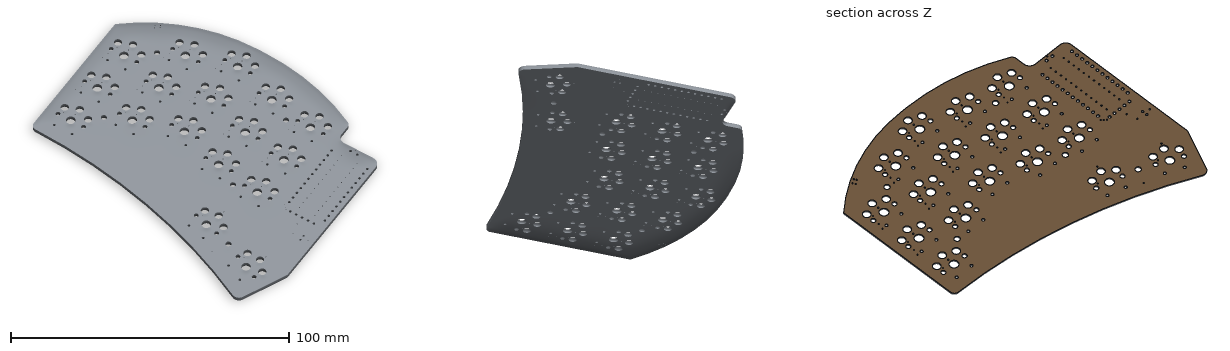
import cadquery as cq
import math

width = 114.0
depth = 98.8
thickness = 1.6

right_edge = width / 2
left_edge = -right_edge
top_edge = depth / 2

left_crest_x = -8.2
right_crest_x = -5.0
left_crown_radius = 74.1
right_crown_radius = 93.5
notch_x = 38.5
notch_y = 30.5
tip_side_top_y = -30.8
tip = (47.9, -50.4)
lower_left_y = -24.6
lower_curve_radius = 228.0
corner_radius = 2.0
wide_corner_radius = 3.0
tip_radius = 2.6

switch_post_d = 3.4
switch_pin_d = 3.0
switch_peg_d = 1.7
mounting_d = 2.2
header_d = 0.99
diode_d = 1.0
battery_d = 0.75
via_d = 0.4
micro_via_d = 0.3

column_count = 5
row_count = 3
middle_column_x = -9.6
column_span = 74.0
column_pitch = column_span / (column_count - 1)
row_pitch = 17.5
column_middle_y = [3.3, 15.4, 21.3, 15.4, 12.4]

thumb_keys = [(20.1, -27.4, -15.0), (42.5, -35.8, -25.0)]

peg_x = 5.5
top_pin_y = 5.9
side_pin_x = 5.0
side_pin_y = 3.8
diode_span = 7.6
diode_y = -5.0
key_centre_via = (0, 3.0)
thumb_top_via = (0, 8.4)
key_pin_via = (-4.0, 1.6)
key_peg_vias = [(-5.2, -2.5), (-6.0, -5.0)]

header_x = 47.2
header_row_gap = 15.3
header_via_gap = 6.6
header_count = 12
header_span = 27.9
header_top_y = 25.2
header_pitch = header_span / (header_count - 1)
cross_row_count = 5
cross_row_y = -6.0

mounting_points = [(-37.3, 28.4), (-37.3, -6.7), (18.2, 27.9), (18.2, -7.1), (31.6, -30.5)]
button_x = 46.9
button_y = 28.7
button_gap = 3.0
button_via_y = 29.9
battery_points = [(52.2, -12.8), (52.2, -14.8)]
loose_vias = [(-44.1, 37.4), (-43.0, 39.5), (-42.5, 38.5), (47.3, -9.5), (48.5, -13.8), (54.7, -13.8)]
loose_micro_vias = [(-44.7, 38.4), (38.9, -4.7), (39.7, -5.5), (40.5, -6.3), (28.4, -36.5)]


def crown_y(x, crest_x, radius):
    """Y at x on a crown arc that touches the top edge at crest_x."""
    return top_edge - radius + math.sqrt(radius**2 - (x - crest_x) ** 2)


notch_top_y = crown_y(notch_x, right_crest_x, right_crown_radius)


def make_board():
    left_mid_x = (left_edge + left_crest_x) / 2
    right_mid_x = (notch_x + right_crest_x) / 2
    return (
        cq.Workplane("XY")
        .moveTo(left_edge, crown_y(left_edge, left_crest_x, left_crown_radius))
        .threePointArc(
            (left_mid_x, crown_y(left_mid_x, left_crest_x, left_crown_radius)),
            (left_crest_x, top_edge),
        )
        .lineTo(right_crest_x, top_edge)
        .threePointArc(
            (right_mid_x, crown_y(right_mid_x, right_crest_x, right_crown_radius)),
            (notch_x, notch_top_y),
        )
        .lineTo(notch_x, notch_y)
        .lineTo(right_edge, notch_y)
        .lineTo(right_edge, tip_side_top_y)
        .lineTo(*tip)
        .radiusArc((left_edge, lower_left_y), -lower_curve_radius)
        .close()
        .extrude(thickness)
    )


def round_corner(board, x, y, radius):
    corner = cq.selectors.NearestToPointSelector((x, y, thickness / 2))
    return board.edges("|Z").edges(corner).fillet(radius)


def place(points, key):
    """Turn points about a key's switch post and move them with it."""
    key_x, key_y, turn = key
    cosine = math.cos(math.radians(turn))
    sine = math.sin(math.radians(turn))
    return [(key_x + x * cosine - y * sine, key_y + x * sine + y * cosine) for x, y in points]


def spread(centre, pitch, count):
    """Evenly spaced positions about a centre."""
    return [centre + (i - (count - 1) / 2) * pitch for i in range(count)]


def mirrored(x, y=0):
    return [(-x, y), (x, y)]


def drill(board, points, diameter):
    holes = cq.Workplane("XY").pushPoints(points).circle(diameter / 2).extrude(thickness)
    return board.cut(holes)


def drill_keys(board, keys, points, diameter):
    all_points = [point for key in keys for point in place(points, key)]
    return drill(board, all_points, diameter)


result = make_board()
result = round_corner(result, notch_x, notch_y, wide_corner_radius)
result = round_corner(result, right_edge, notch_y, wide_corner_radius)
result = round_corner(result, notch_x, notch_top_y, corner_radius)
result = round_corner(result, left_edge, lower_left_y, corner_radius)
result = round_corner(result, *tip, tip_radius)

column_xs = spread(middle_column_x, column_pitch, column_count)
lowest_keys = []
upper_keys = []
for column_x, middle_y in zip(column_xs, column_middle_y):
    keys = [(column_x, key_y, 0) for key_y in spread(middle_y, row_pitch, row_count)]
    lowest_keys.append(keys[0])
    upper_keys.extend(keys[1:])
finger_keys = upper_keys + lowest_keys
all_keys = finger_keys + thumb_keys

pin_points = [(0, top_pin_y)] + mirrored(side_pin_x, side_pin_y)
result = drill_keys(result, all_keys, [(0, 0)], switch_post_d)
result = drill_keys(result, all_keys, pin_points, switch_pin_d)
result = drill_keys(result, all_keys, mirrored(peg_x), switch_peg_d)
result = drill_keys(result, all_keys, mirrored(diode_span / 2, diode_y), diode_d)
result = drill_keys(result, finger_keys, [key_centre_via], via_d)
result = drill_keys(result, thumb_keys, [thumb_top_via], via_d)
result = drill_keys(result, all_keys, [key_pin_via], micro_via_d)
result = drill_keys(result, upper_keys, key_peg_vias, micro_via_d)

header_ys = spread(header_top_y - header_span / 2, header_pitch, header_count)
header_rows = [(x, y) for x in spread(header_x, header_row_gap, 2) for y in header_ys]
header_vias = [(x, y) for x in spread(header_x, header_via_gap, 2) for y in header_ys]
cross_row = [(x, cross_row_y) for x in spread(header_x, header_pitch, cross_row_count)]
result = drill(result, header_rows + cross_row, header_d)
result = drill(result, header_vias, via_d)

button_points = [(x, button_y) for x in spread(button_x, button_gap, 2)]
result = drill(result, mounting_points, mounting_d)
result = drill(result, button_points, header_d)
result = drill(result, battery_points, battery_d)
result = drill(result, loose_vias + [(button_x, button_via_y)], via_d)
result = drill(result, loose_micro_vias, micro_via_d)